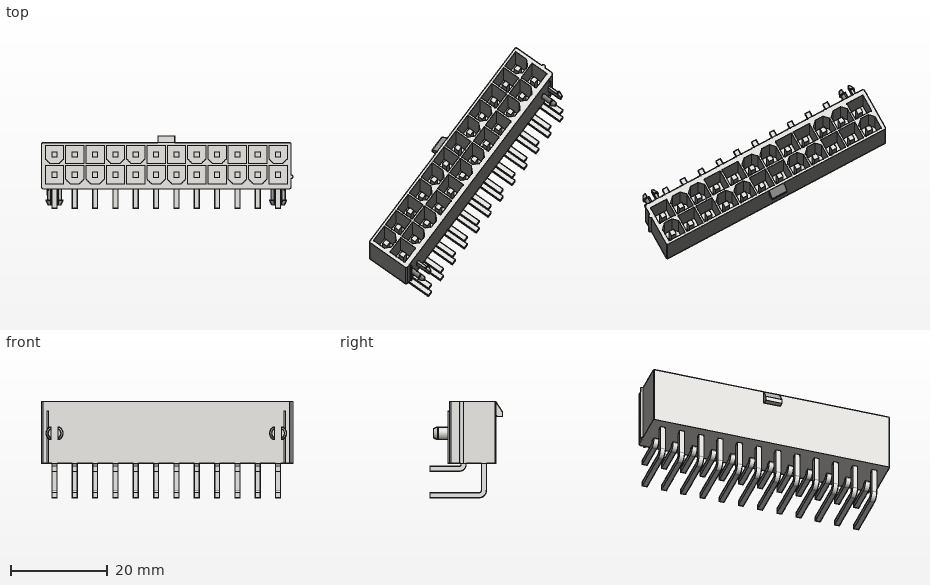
import cadquery as cq
import math


COLUMNS = 12
PITCH = 4.2
FRONT_ROW_Y = 2.95
REAR_ROW_Y = FRONT_ROW_Y + PITCH
END_COLUMN_X = PITCH * (COLUMNS - 1) / 2

END_WALL = 2.7
BODY_LENGTH = 2 * (END_COLUMN_X + END_WALL)
BODY_DEPTH = 9.6
BODY_HEIGHT = 12.8
FRONT_CORNER_CHAMFER = 0.3
REAR_CORNER_CHAMFER = 0.2

CAVITY_SIZE = 3.8
CAVITY_KEY_CHAMFER = 1.0
CAVITY_FLOOR_Z = 3.0

PIN_SIZE = 1.07
PIN_TOP_Z = 9.5
PIN_END_Y = -4.0
FRONT_PIN_LOWEST_Z = -1.63
PIN_ROW_DROP = 5.5
REAR_PIN_LOWEST_Z = FRONT_PIN_LOWEST_Z - PIN_ROW_DROP
FRONT_PIN_BEND_RADIUS = 0.3
REAR_PIN_BEND_RADIUS = 0.5

LATCH_WIDTH = 3.5
LATCH_REACH = 1.4
LATCH_RAMP_DROP = 2.15
LATCH_HEIGHT = 3.15
LATCH_ROOT_CHAMFER = 0.3

RIB_WIDTH = 0.3
RIB_HEIGHT = 0.3
RIB_TOP_Z = BODY_HEIGHT - 2.0
RIB_X = 24.45

PEG_Z = 6.22
PEG_SHANK_RADIUS = 1.5
PEG_BARB_OFFSET = 0.25
PEG_BARB_RADIUS = PEG_SHANK_RADIUS
PEG_TIP_RADIUS = 1.05
PEG_LIP_START = 2.2
PEG_LIP_END = 2.4
PEG_LENGTH = 3.3
PEG_SLOT_HALF_WIDTH = 0.75
PEG_HALF_HEIGHT = math.sqrt(PEG_SHANK_RADIUS**2 - PEG_SLOT_HALF_WIDTH**2)
PEG_HALF_REACH = PEG_BARB_OFFSET + PEG_BARB_RADIUS

BEAD_RADIUS = 0.4
BEAD_Y = 2.55

EMBED = 0.2


def column_x(column):
    return column * PITCH - END_COLUMN_X


def make_housing():
    housing = cq.Workplane("XY").box(BODY_LENGTH, BODY_DEPTH, BODY_HEIGHT, centered=(True, False, False))
    housing = housing.edges("|Z and <Y").chamfer(FRONT_CORNER_CHAMFER)
    return housing.edges("|Z and >Y").chamfer(REAR_CORNER_CHAMFER)


def make_cavity(x, y, keyed):
    """Blind square cavity; a keyed one has its two front corners cut off."""
    depth = BODY_HEIGHT - CAVITY_FLOOR_Z
    cavity = cq.Workplane("XY").box(CAVITY_SIZE, CAVITY_SIZE, depth, centered=(True, True, False))
    if keyed:
        cavity = cavity.edges("|Z and <Y").chamfer(CAVITY_KEY_CHAMFER)
    return cavity.translate((x, y, CAVITY_FLOOR_Z))


def make_pin(x, y, lowest_z, bend_radius):
    """Square pin that runs down through the housing and turns toward -Y."""
    rear_y = y + PIN_SIZE / 2
    front_y = y - PIN_SIZE / 2
    tail_top_z = lowest_z + PIN_SIZE
    centre_y = front_y - bend_radius
    centre_z = tail_top_z + bend_radius
    outer_offset = (bend_radius + PIN_SIZE) * math.sqrt(0.5)
    inner_offset = bend_radius * math.sqrt(0.5)
    outer_mid = (centre_y + outer_offset, centre_z - outer_offset)
    inner_mid = (centre_y + inner_offset, centre_z - inner_offset)
    return (
        cq.Workplane("YZ", origin=(x, 0, 0))
        .moveTo(front_y, PIN_TOP_Z)
        .lineTo(rear_y, PIN_TOP_Z)
        .lineTo(rear_y, centre_z)
        .threePointArc(outer_mid, (centre_y, lowest_z))
        .lineTo(PIN_END_Y, lowest_z)
        .lineTo(PIN_END_Y, tail_top_z)
        .lineTo(centre_y, tail_top_z)
        .threePointArc(inner_mid, (front_y, centre_z))
        .close()
        .extrude(PIN_SIZE / 2, both=True)
    )


def make_latch():
    tip_y = BODY_DEPTH + LATCH_REACH
    base_z = BODY_HEIGHT - LATCH_HEIGHT
    profile = [
        (BODY_DEPTH - EMBED, BODY_HEIGHT),
        (BODY_DEPTH, BODY_HEIGHT),
        (tip_y, BODY_HEIGHT - LATCH_RAMP_DROP),
        (tip_y, base_z),
        (BODY_DEPTH + LATCH_ROOT_CHAMFER, base_z),
        (BODY_DEPTH, base_z + LATCH_ROOT_CHAMFER),
        (BODY_DEPTH - EMBED, base_z + LATCH_ROOT_CHAMFER),
    ]
    return cq.Workplane("YZ").polyline(profile).close().extrude(LATCH_WIDTH / 2, both=True)


def make_rib(x):
    rib = cq.Workplane("XY").box(RIB_WIDTH, RIB_HEIGHT + EMBED, RIB_TOP_Z, centered=(True, False, False))
    return rib.translate((x, -RIB_HEIGHT, 0))


def make_peg_half():
    """+X half of a snap peg: half-round shank with an outward barb that tapers to the tip."""
    shank = cq.Workplane("XZ", origin=(0, EMBED, 0)).circle(PEG_SHANK_RADIUS).extrude(EMBED + PEG_LIP_END)
    barb = (
        cq.Workplane("XY", origin=(PEG_BARB_OFFSET, 0, 0))
        .moveTo(0, -PEG_LIP_START)
        .lineTo(PEG_BARB_RADIUS, -PEG_LIP_START)
        .lineTo(PEG_BARB_RADIUS, -PEG_LIP_END)
        .lineTo(PEG_TIP_RADIUS, -PEG_LENGTH)
        .lineTo(0, -PEG_LENGTH)
        .close()
        .revolve(360, (0, 0, 0), (0, 1, 0))
    )
    envelope = cq.Workplane("XY").box(
        PEG_HALF_REACH - PEG_SLOT_HALF_WIDTH,
        EMBED + PEG_LENGTH,
        2 * PEG_HALF_HEIGHT,
        centered=(False, False, True),
    )
    envelope = envelope.translate((PEG_SLOT_HALF_WIDTH, -PEG_LENGTH, 0))
    return shank.union(barb).intersect(envelope)


def make_peg(x):
    """Snap peg split by a vertical slot, flat above and below."""
    half = make_peg_half()
    return half.union(half.mirror("YZ")).translate((x, 0, PEG_Z))


def make_bead():
    return cq.Workplane("XY").center(BODY_LENGTH / 2, BEAD_Y).circle(BEAD_RADIUS).extrude(BODY_HEIGHT)


result = make_housing().union(make_latch()).union(make_bead())
for side in (-1, 1):
    result = result.union(make_rib(side * RIB_X))
    result = result.union(make_peg(side * END_COLUMN_X))

cavities = cq.Workplane("XY")
pins = cq.Workplane("XY")
for column in range(COLUMNS):
    x = column_x(column)
    rear_keyed = column % 4 in (0, 3)
    cavities = cavities.add(make_cavity(x, REAR_ROW_Y, rear_keyed))
    cavities = cavities.add(make_cavity(x, FRONT_ROW_Y, not rear_keyed))
    pins = pins.add(make_pin(x, REAR_ROW_Y, REAR_PIN_LOWEST_Z, REAR_PIN_BEND_RADIUS))
    pins = pins.add(make_pin(x, FRONT_ROW_Y, FRONT_PIN_LOWEST_Z, FRONT_PIN_BEND_RADIUS))

result = result.cut(cavities).union(pins)